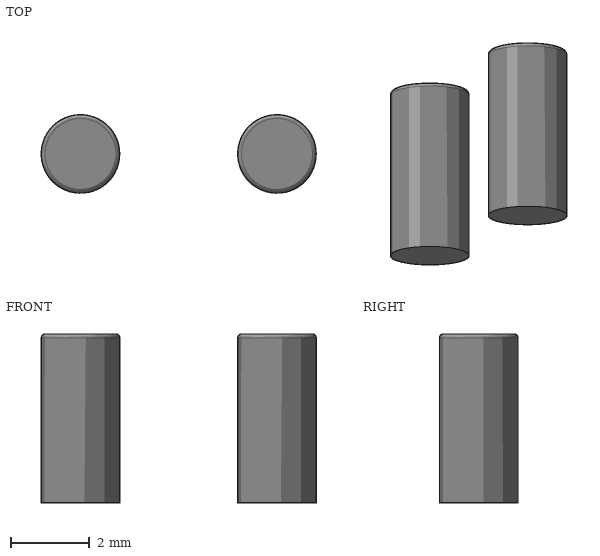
import cadquery as cq

overall_length = 7.0
pin_diameter = 2.0
pin_height = 4.3
top_edge_radius = 0.1

pin_spacing = overall_length - pin_diameter


def make_pin(center_x):
    """Upright cylindrical pin standing on Z = 0, with a rounded top edge."""
    return (
        cq.Workplane("XY")
        .center(center_x, 0)
        .circle(pin_diameter / 2)
        .extrude(pin_height)
        .faces(">Z")
        .edges()
        .fillet(top_edge_radius)
    )


pins = [make_pin(side * pin_spacing / 2) for side in (-1, 1)]

result = cq.Compound.makeCompound([pin.val() for pin in pins])